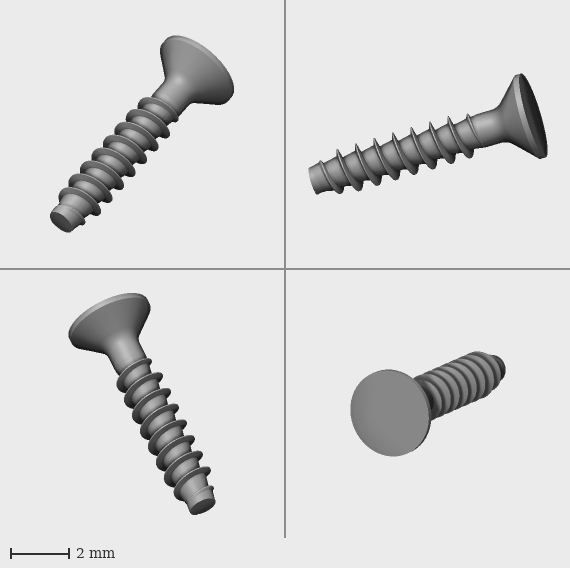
import cadquery as cq
import math

length = 8.0

head_radius = 1.5
rim_depth = 0.2
cone_half_angle = math.radians(45)
shank_radius = 0.59
neck_fillet = 0.6
shank_end_depth = 1.9

core_radius = 0.48
core_lead_taper = 0.15
tip_radius = 0.46
tip_cone_depth = 7.75
core_lead_end_depth = shank_end_depth + (shank_radius - core_radius) / core_lead_taper

pitch = 0.67
thread_radius = 0.8
crest_width = 0.04
tooth_root_width = 0.2
tooth_root_radius = 0.57
root_overlap = 0.005
clocking_depth = 2.125
points_per_turn = 24

thread_start_depth = 1.84
run_in_turns = 1
full_height_turns = 6.6
run_out_turns = 1.5
run_in_sink = thread_radius - shank_radius
run_out_burial = 0.02
run_out_sink = thread_radius - core_radius + run_out_burial

root_sink_share = 0.2
root_radius = core_radius - root_overlap
turn_clearance = 0.006
skirt_end_offset = pitch - tooth_root_width / 2 - turn_clearance
thread_section = [
    (-tooth_root_width / 2, root_radius, root_sink_share),
    (-crest_width / 2, thread_radius, 1),
    (crest_width / 2, thread_radius, 1),
    (tooth_root_width / 2, tooth_root_radius, root_sink_share),
    (skirt_end_offset, root_radius, root_sink_share),
]


def make_body():
    """Head, filleted neck, shank and core as one turned profile."""
    cone_corner_depth = rim_depth + (head_radius - shank_radius) / math.tan(cone_half_angle)
    tangent_length = neck_fillet * math.tan(cone_half_angle / 2)
    fillet_start_depth = cone_corner_depth - tangent_length * math.cos(cone_half_angle)
    fillet_start_radius = shank_radius + tangent_length * math.sin(cone_half_angle)
    fillet_end_depth = cone_corner_depth + tangent_length
    fillet_mid_depth = fillet_end_depth - neck_fillet * math.sin(cone_half_angle / 2)
    fillet_mid_radius = shank_radius + neck_fillet * (1 - math.cos(cone_half_angle / 2))
    return (
        cq.Workplane("YZ")
        .moveTo(0, 0)
        .lineTo(0, head_radius)
        .lineTo(-rim_depth, head_radius)
        .lineTo(-fillet_start_depth, fillet_start_radius)
        .threePointArc((-fillet_mid_depth, fillet_mid_radius), (-fillet_end_depth, shank_radius))
        .lineTo(-shank_end_depth, shank_radius)
        .lineTo(-core_lead_end_depth, core_radius)
        .lineTo(-tip_cone_depth, core_radius)
        .lineTo(-length, tip_radius)
        .lineTo(-length, 0)
        .close()
        .revolve(360, (0, 0), (1, 0))
    )


def section_point(corner, depth, sink):
    """One corner of the thread section, placed on the helix and moved inwards by its share of `sink`."""
    offset, radius, sink_share = corner
    angle = 2 * math.pi * (depth - clocking_depth) / pitch
    reach = radius - sink_share * sink
    return cq.Vector(reach * math.cos(angle), -(depth + offset), reach * math.sin(angle))


def helical_edge(corner, start, end):
    """Path of one section corner between two (depth, sink) stations."""
    start_depth, start_sink = start
    end_depth, end_sink = end
    points = []
    for i in range(points_per_turn + 1):
        fraction = i / points_per_turn
        depth = start_depth + fraction * (end_depth - start_depth)
        sink = start_sink + fraction * (end_sink - start_sink)
        points.append(section_point(corner, depth, sink))
    return cq.Edge.makeSpline(points)


def end_face(station):
    """Flat end of the thread body."""
    points = [section_point(corner, *station) for corner in thread_section]
    return cq.Face.makeFromWires(cq.Wire.makePolygon(points, close=True))


def thread_stations():
    """(depth, sink) along the helix, at most one turn apart."""
    depth = thread_start_depth
    sink = run_in_sink
    stations = [(depth, sink)]
    for turns, end_sink in [(run_in_turns, 0), (full_height_turns, 0), (run_out_turns, run_out_sink)]:
        steps = math.ceil(turns)
        start_sink = sink
        for step in range(1, steps + 1):
            depth += pitch * turns / steps
            sink = start_sink + (end_sink - start_sink) * step / steps
            stations.append((depth, sink))
    return stations


def make_thread():
    """Run-in, full-height and run-out stretches closed into one helical solid."""
    stations = thread_stations()
    faces = [end_face(stations[0]), end_face(stations[-1])]
    for start, end in zip(stations, stations[1:]):
        edges = [helical_edge(corner, start, end) for corner in thread_section]
        for i, edge in enumerate(edges):
            faces.append(cq.Face.makeRuledSurface(edges[i - 1], edge))
    thread = cq.Solid.makeSolid(cq.Shell.makeShell(faces))
    return cq.Workplane(obj=thread.fix())


def make_thread_envelope():
    """Cylinder from the end of the shank to the tip that bounds the thread."""
    return (
        cq.Workplane("XZ", origin=(0, -shank_end_depth, 0))
        .circle(head_radius)
        .extrude(length - shank_end_depth)
    )


result = make_body().union(make_thread().intersect(make_thread_envelope()))